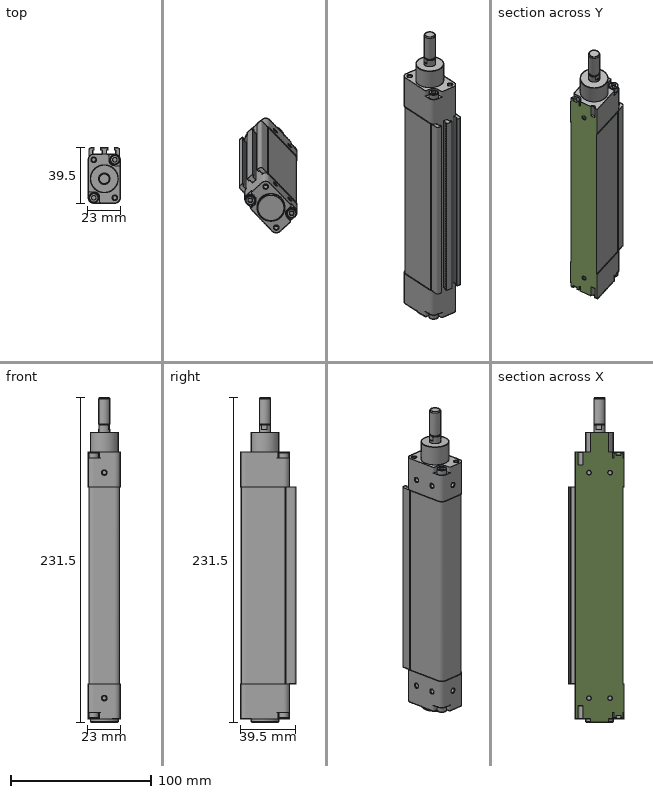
import cadquery as cq

TOTAL_HEIGHT = 231.5
TOTAL_DEPTH = 39.5
BOSS_HEIGHT = 2.5
CAP_HEIGHT = 25.0
COLLAR_HEIGHT = 14.0
COLLAR_TOP = 206.7
FRONT_CAP_TOP = COLLAR_TOP - COLLAR_HEIGHT
FRONT_CAP_BOTTOM = FRONT_CAP_TOP - CAP_HEIGHT
REAR_CAP_BOTTOM = BOSS_HEIGHT
REAR_CAP_TOP = REAR_CAP_BOTTOM + CAP_HEIGHT

CAP_WIDTH = 23.0
CAP_DEPTH = 35.0
CORNER_RADIUS = 4.0
SCREW_X = CAP_WIDTH / 2 - CORNER_RADIUS
SCREW_Y = CAP_DEPTH / 2 - CORNER_RADIUS
COLLAR_DIAMETER = 20.0
BOSS_CHAMFER = 0.7
COLLAR_CHAMFER = 0.2

SEAT_DIAMETER = 8.5
SEAT_RADIUS = SEAT_DIAMETER / 2
SEAT_MOUTH_RADIUS = 0.7
SEAT_DEPTH = 4.5
HEAD_DIAMETER = 7.0
HEAD_HEIGHT = 4.0
HEAD_CHAMFER = 0.5
SOCKET_DIAMETER = 3.2
SOCKET_DEPTH = 1.9
THREAD_DIAMETER = 4.0
HOLE_CHAMFER = 0.5
THREAD_DEPTH = 9.3
PORT_DIAMETER = 4.0
PORT_SPACING = 15.0
PORT_DEPTH = 4.6
PORT_FROM_CAP_END = 14.8

INTO_END = "YX"
INTO_FRONT = "ZX"
INTO_SIDE = "YZ"

PROFILE_INSET = 0.5
PROFILE_HALF_WIDTH = CAP_WIDTH / 2 - PROFILE_INSET
PROFILE_FRONT_Y = -CAP_DEPTH / 2 + PROFILE_INSET
PROFILE_BACK_Y = TOTAL_DEPTH - CAP_DEPTH / 2
PROFILE_FRONT_RADIUS = CORNER_RADIUS - PROFILE_INSET
PROFILE_BACK_RADIUS = 1.6
SLOT_FLOOR_Y = CAP_DEPTH / 2
LIP_THICKNESS = 1.6
SLOT_MOUTH_INNER_X = 2.5
SLOT_MOUTH_OUTER_X = 7.2
SLOT_UNDERCUT = 1.0
SIDE_GROOVE_Y = 14.5
SIDE_GROOVE_WIDTH = 0.7
SIDE_GROOVE_DEPTH = 0.5

ROD_DIAMETER = 8.0
ROD_TIP_DIAMETER = 7.0
ROD_CHAMFER_LENGTH = 1.0
ROD_BOTTOM = FRONT_CAP_BOTTOM
NECK_DIAMETER = 7.0
NECK_WIDTH = 0.7
NECK_BOTTOM = 211.8
FLATS_ACROSS = 7.0
FLATS_HEIGHT = 3.2
FLATS_ANGLE = -10.0


def cylinder(x, y, z, diameter, height):
    return cq.Workplane("XY", origin=(x, y, z)).circle(diameter / 2).extrude(height)


def box_between(x0, x1, y0, y1, z0, z1):
    return cq.Workplane("XY").box(x1 - x0, y1 - y0, z1 - z0, centered=False).translate((x0, y0, z0))


def chamfered_hole(plane, origin, diameter, depth):
    """Cutter running along the plane normal, widest where it starts."""
    core = cq.Workplane(plane, origin=origin).circle(diameter / 2 - HOLE_CHAMFER).extrude(depth)
    mouth = cq.Workplane(plane, origin=origin).circle(diameter / 2).extrude(HOLE_CHAMFER, taper=45)
    return core.union(mouth)


def make_profile():
    """Rounded extrusion with two undercut slots along its back."""
    span = (REAR_CAP_TOP, FRONT_CAP_BOTTOM)
    profile = box_between(
        -PROFILE_HALF_WIDTH, PROFILE_HALF_WIDTH, PROFILE_FRONT_Y, PROFILE_BACK_Y, *span
    )
    profile = profile.edges("|Z and <Y").fillet(PROFILE_FRONT_RADIUS)
    profile = profile.edges("|Z and >Y").fillet(PROFILE_BACK_RADIUS)
    lip_y = PROFILE_BACK_Y - LIP_THICKNESS
    for side in (-1, 1):
        left, right = sorted((side * SLOT_MOUTH_INNER_X, side * SLOT_MOUTH_OUTER_X))
        mouth = box_between(left, right, SLOT_FLOOR_Y, PROFILE_BACK_Y, *span)
        undercut = box_between(left - SLOT_UNDERCUT, right + SLOT_UNDERCUT, SLOT_FLOOR_Y, lip_y, *span)
        profile = profile.cut(mouth).cut(undercut)
        groove = (
            cq.Workplane("XY", origin=(side * PROFILE_HALF_WIDTH, SIDE_GROOVE_Y, REAR_CAP_TOP))
            .rect(2 * SIDE_GROOVE_DEPTH, SIDE_GROOVE_WIDTH)
            .extrude(FRONT_CAP_BOTTOM - REAR_CAP_TOP)
        )
        profile = profile.cut(groove)
    return profile


def add_screw_seat(cap, side):
    """Recessed socket-head screw in a corner, open to both outer walls."""
    x = side * SCREW_X
    y = side * SCREW_Y
    floor = CAP_HEIGHT - SEAT_DEPTH
    mid_z = CAP_HEIGHT - SEAT_DEPTH / 2
    wall_x = x - side * SEAT_RADIUS
    wall_y = y - side * SEAT_RADIUS
    outer_x = side * CAP_WIDTH / 2
    outer_y = side * CAP_DEPTH / 2
    seat = box_between(*sorted((wall_x, outer_x)), *sorted((wall_y, outer_y)), floor, CAP_HEIGHT)
    seat = seat.edges(cq.NearestToPointSelector((wall_x, wall_y, mid_z)))
    seat = seat.fillet(SEAT_RADIUS)
    cap = cap.cut(seat)
    for mouth_x, mouth_y in ((wall_x, outer_y), (outer_x, wall_y)):
        mouth = cq.NearestToPointSelector((mouth_x, mouth_y, mid_z))
        cap = cap.edges(mouth).fillet(SEAT_MOUTH_RADIUS)
    head = cylinder(x, y, floor, HEAD_DIAMETER, HEAD_HEIGHT).faces(">Z").chamfer(HEAD_CHAMFER)
    socket = cylinder(x, y, floor + HEAD_HEIGHT - SOCKET_DEPTH, SOCKET_DIAMETER, SOCKET_DEPTH)
    return cap.union(head).cut(socket)


def make_cap():
    """End cap standing on Z = 0 with its outer end face up."""
    cap = cq.Workplane("XY").rect(CAP_WIDTH, CAP_DEPTH).extrude(CAP_HEIGHT)
    cap = cap.edges("|Z").fillet(CORNER_RADIUS)
    for side in (-1, 1):
        cap = add_screw_seat(cap, side)
        thread_mouth = (-side * SCREW_X, side * SCREW_Y, CAP_HEIGHT)
        cap = cap.cut(chamfered_hole(INTO_END, thread_mouth, THREAD_DIAMETER, THREAD_DEPTH))
    port_z = CAP_HEIGHT - PORT_FROM_CAP_END
    cap = cap.cut(chamfered_hole(INTO_FRONT, (0, -CAP_DEPTH / 2, port_z), PORT_DIAMETER, PORT_DEPTH))
    for y in (-PORT_SPACING / 2, PORT_SPACING / 2):
        cap = cap.cut(chamfered_hole(INTO_SIDE, (-CAP_WIDTH / 2, y, port_z), PORT_DIAMETER, PORT_DEPTH))
    return cap


def make_housing():
    """Caps, profile, collar and rear boss, bored from the front to take the rod."""
    front_cap = make_cap().translate((0, 0, FRONT_CAP_BOTTOM))
    rear_cap = make_cap().mirror("XY").translate((0, 0, REAR_CAP_TOP))
    collar = cylinder(0, 0, FRONT_CAP_TOP, COLLAR_DIAMETER, COLLAR_HEIGHT).faces(">Z").chamfer(COLLAR_CHAMFER)
    boss = cylinder(0, 0, 0, COLLAR_DIAMETER, BOSS_HEIGHT).faces("<Z").chamfer(BOSS_CHAMFER)
    bore = cylinder(0, 0, ROD_BOTTOM, ROD_DIAMETER, COLLAR_TOP - ROD_BOTTOM)
    return make_profile().union(front_cap).union(rear_cap).union(collar).union(boss).cut(bore)


def make_rod():
    """Chamfered rod with a narrow neck groove and two wrench flats below it."""
    rod = cylinder(0, 0, ROD_BOTTOM, ROD_DIAMETER, TOTAL_HEIGHT - ROD_BOTTOM)
    rod = rod.faces(">Z").chamfer(ROD_CHAMFER_LENGTH, (ROD_DIAMETER - ROD_TIP_DIAMETER) / 2)
    neck = cylinder(0, 0, NECK_BOTTOM, 2 * ROD_DIAMETER, NECK_WIDTH)
    neck = neck.cut(cylinder(0, 0, NECK_BOTTOM, NECK_DIAMETER, NECK_WIDTH))
    flats_bottom = NECK_BOTTOM - FLATS_HEIGHT
    flats = cylinder(0, 0, flats_bottom, 2 * ROD_DIAMETER, FLATS_HEIGHT)
    core = cq.Workplane("XY", origin=(0, 0, flats_bottom))
    core = core.rect(FLATS_ACROSS, 2 * ROD_DIAMETER).extrude(FLATS_HEIGHT)
    flats = flats.cut(core).rotate((0, 0, 0), (0, 0, 1), FLATS_ANGLE)
    return rod.cut(neck).cut(flats)


housing = make_housing()
rod = make_rod()
result = cq.Compound.makeCompound([housing.val(), rod.val()])